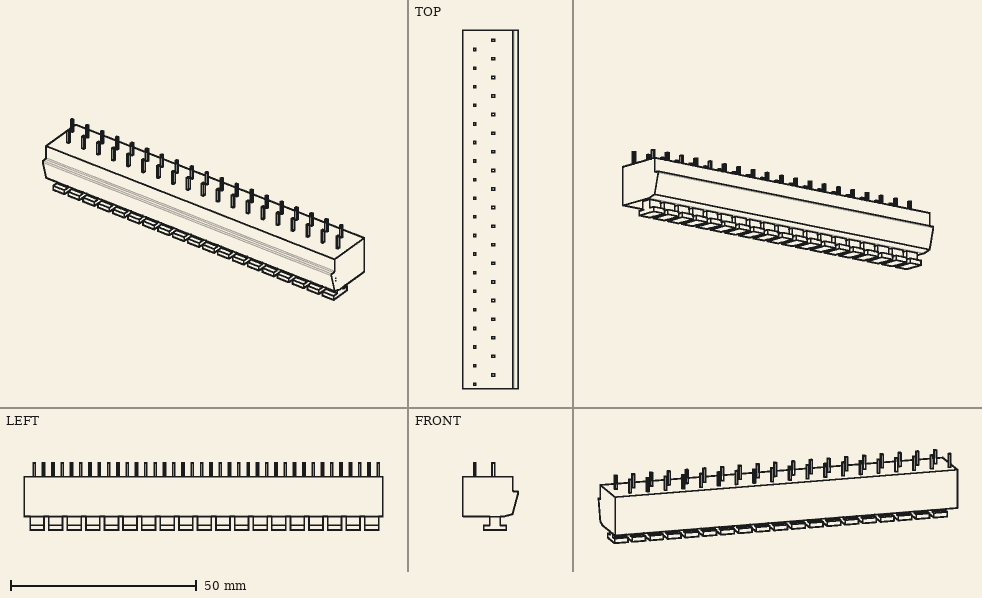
import cadquery as cq
import math


pole_count = 19
pole_pitch = 5.0
end_plate_thickness = 1.5
block_length = pole_count * pole_pitch + end_plate_thickness
end_y = -block_length / 2

total_height = 18.1
total_depth = 15.0
top_depth = 13.5
housing_bottom_z = 3.65
housing_top_z = 14.4
lip_top_z = 10.4
wire_face_tilt = 15.0
wire_face_end_z = 4.25
small_radius = 0.3

pin_width = 0.6
pin_first_offset = 1.25
pin_stagger = pole_pitch / 2
back_row_x = 3.3
row_spacing = 5.0
back_pin_depth = 0.6
front_pin_depth = 0.8

lever_width = 3.8
lever_offset = 3.0
lever_center_x = 8.7
stem_depth = 2.9
foot_depth = 6.1
foot_height = 1.3

channel_wall = 0.35
channel_cover = 0.5
channel_back_x = 12.6
channel_bottom_z = 7.1
channel_height = 1.3

tilt_angle = math.radians(wire_face_tilt)
tilt_slope = math.tan(tilt_angle)
lip_corner_x = total_depth + small_radius * (tilt_slope + 1 / math.cos(tilt_angle) - 1)


def wire_face_x(z):
    """X of the tilted wire face at height z."""
    return lip_corner_x - (lip_top_z - z) * tilt_slope


def along_block(points, y_start, length):
    """Extrude an XZ outline towards +Y, starting at y_start."""
    outline = cq.Workplane("XZ", origin=(0, y_start, 0)).polyline(points).close()
    return outline.extrude(-length)


def make_housing():
    front_bottom_x = wire_face_x(wire_face_end_z)
    flat_end_x = front_bottom_x - (wire_face_end_z - housing_bottom_z) / tilt_slope
    points = [
        (0, housing_bottom_z),
        (flat_end_x, housing_bottom_z),
        (front_bottom_x, wire_face_end_z),
        (lip_corner_x, lip_top_z),
        (top_depth, lip_top_z),
        (top_depth, housing_top_z),
        (0, housing_top_z),
    ]
    housing = along_block(points, end_y, block_length)
    rounded_corners = [
        (0, housing_bottom_z),
        (lip_corner_x, lip_top_z),
        (top_depth, lip_top_z),
    ]
    for x, z in rounded_corners:
        edge = housing.edges("|Y").edges(cq.selectors.NearestToPointSelector((x, 0, z)))
        housing = edge.fillet(small_radius)
    return housing


def make_channel():
    channel_top_z = channel_bottom_z + channel_height
    points = [
        (channel_back_x, channel_bottom_z),
        (wire_face_x(channel_bottom_z) - channel_cover, channel_bottom_z),
        (wire_face_x(channel_top_z) - channel_cover, channel_top_z),
        (channel_back_x, channel_top_z),
    ]
    return along_block(points, end_y + channel_wall, block_length - 2 * channel_wall)


def make_pin_row(x, depth, first_y):
    centers = [(x, first_y + i * pole_pitch) for i in range(pole_count)]
    row = cq.Workplane("XY", origin=(0, 0, housing_top_z)).pushPoints(centers)
    return row.rect(depth, pin_width).extrude(total_height - housing_top_z)


def make_lever(center_y):
    points = [
        (lever_center_x - foot_depth / 2, 0),
        (lever_center_x + foot_depth / 2, 0),
        (lever_center_x + foot_depth / 2, foot_height),
        (lever_center_x + stem_depth / 2, foot_height),
        (lever_center_x + stem_depth / 2, housing_bottom_z),
        (lever_center_x - stem_depth / 2, housing_bottom_z),
        (lever_center_x - stem_depth / 2, foot_height),
        (lever_center_x - foot_depth / 2, foot_height),
    ]
    return along_block(points, center_y - lever_width / 2, lever_width)


first_pin_y = end_y + pin_first_offset
result = make_housing().cut(make_channel())
result = result.union(make_pin_row(back_row_x, back_pin_depth, first_pin_y))
result = result.union(make_pin_row(back_row_x + row_spacing, front_pin_depth, first_pin_y + pin_stagger))
for pole in range(pole_count):
    result = result.union(make_lever(end_y + lever_offset + pole * pole_pitch))